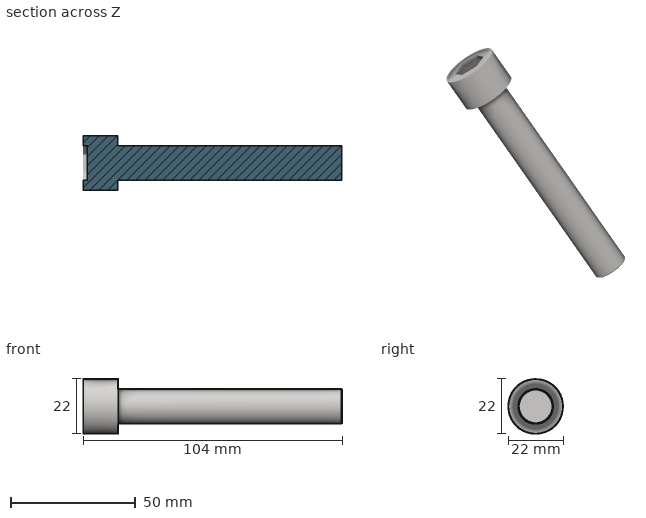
import cadquery as cq
import math

total_length = 104.0
head_diameter = 22.0
shank_diameter = 14.0
head_height = shank_diameter
tip_chamfer = 0.3
socket_across_flats = 12.0
socket_depth = 1.6

head_start = -total_length / 2
shank_length = total_length - head_height
socket_across_corners = socket_across_flats / math.cos(math.pi / 6)


def make_head():
    return cq.Workplane("YZ", origin=(head_start, 0, 0)).circle(head_diameter / 2).extrude(head_height)


def make_shank():
    shank = (
        cq.Workplane("YZ", origin=(head_start + head_height, 0, 0))
        .circle(shank_diameter / 2)
        .extrude(shank_length)
    )
    return shank.faces(">X").chamfer(tip_chamfer)


def make_socket():
    return (
        cq.Workplane("YZ", origin=(head_start, 0, 0))
        .polygon(6, socket_across_corners)
        .extrude(socket_depth)
    )


result = make_head().union(make_shank()).cut(make_socket())